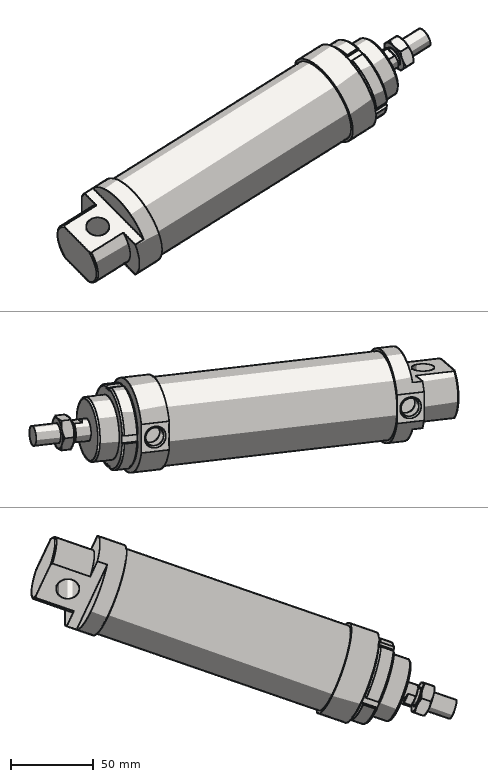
import cadquery as cq
import math

total_length = 267.0

tang_length = 25.4
tang_diameter = 39.8
tang_thickness = 30.0
tang_chamfer = 0.8
pivot_hole_diameter = 14.0
pivot_hole_y = 16.0
rear_cap_length = 17.4
rear_step_depth = 6.5

cap_diameter = 58.0
barrel_diameter = 54.5
barrel_length = 146.5
front_cap_length = 18.0

port_flat_distance = 27.5
port_diameter = 11.5
port_depth = 8.0
port_chamfer = 1.0

nose_diameter = tang_diameter
nose_length = 24.8
nose_chamfer = 1.0
lock_nut_diameter = 52.5
lock_nut_thickness = 10.1
lock_nut_gap = 1.3
lock_nut_chamfer = 1.0
lock_nut_slot_width = 5.0
lock_nut_slot_depth = 2.1
lock_nut_slot_count = 4

rod_diameter = 14.0
rod_length = 9.5
wrench_flat_distance = 12.0
wrench_flat_length = 5.0
relief_diameter = 11.0
relief_length = 2.1
thread_diameter = 12.3

hex_nut_across_flats = 19.0
hex_nut_thickness = 7.5
hex_nut_chamfer_angle = 30.0

rear_cap_y = tang_length
barrel_y = rear_cap_y + rear_cap_length
front_cap_y = barrel_y + barrel_length
nose_y = front_cap_y + front_cap_length
lock_nut_y = nose_y + lock_nut_gap
rod_y = nose_y + nose_length
relief_y = rod_y + rod_length
thread_y = relief_y + relief_length


def cylinder(diameter, length, y_start):
    """Cylinder on the Y axis, growing toward +Y from y_start."""
    base = cq.Workplane("XZ", origin=(0, y_start, 0))
    return base.circle(diameter / 2).extrude(-length)


def box(width, length, height, x, y_start, z):
    """Box centred on x and z, growing toward +Y from y_start."""
    return cq.Workplane("XY").box(width, length, height).translate((x, y_start + length / 2, z))


def make_port_cut(cap_y, cap_length):
    """Flat milled along a cap, with a chamfered blind port in its middle."""
    flat_depth = cap_diameter / 2 - port_flat_distance
    flat_x = -port_flat_distance - flat_depth / 2
    flat = box(flat_depth, cap_length, cap_diameter, flat_x, cap_y, 0)
    port_face = cq.Workplane("YZ", origin=(-port_flat_distance, cap_y + cap_length / 2, 0))
    bore = port_face.circle(port_diameter / 2).extrude(port_depth)
    countersink = (
        port_face.circle(port_diameter / 2 + port_chamfer)
        .workplane(offset=port_chamfer)
        .circle(port_diameter / 2)
        .loft()
    )
    return flat.union(bore).union(countersink)


def make_tang():
    """Round tang with flats above and below and a vertical pivot hole."""
    tang = cylinder(tang_diameter, tang_length, 0).faces("<Y").chamfer(tang_chamfer)
    tang = tang.intersect(box(tang_diameter, tang_length, tang_thickness, 0, 0, 0))
    pivot_hole = (
        cq.Workplane("XY", origin=(0, pivot_hole_y, 0))
        .circle(pivot_hole_diameter / 2)
        .extrude(tang_thickness, both=True)
    )
    return tang.cut(pivot_hole)


def make_rear_cap():
    """Rear cap, stepped back above and below to the thickness of the tang."""
    cap = cylinder(cap_diameter, rear_cap_length, rear_cap_y)
    for side in (-1, 1):
        step_z = side * (tang_thickness + cap_diameter) / 2
        cap = cap.cut(box(cap_diameter, rear_step_depth, cap_diameter, 0, rear_cap_y, step_z))
    return cap.cut(make_port_cut(rear_cap_y, rear_cap_length))


def make_front_cap():
    cap = cylinder(cap_diameter, front_cap_length, front_cap_y)
    return cap.cut(make_port_cut(front_cap_y, front_cap_length))


def make_housing():
    """Tang, caps, barrel and nose as one solid."""
    barrel = cylinder(barrel_diameter, barrel_length, barrel_y)
    nose = cylinder(nose_diameter, nose_length, nose_y).faces(">Y").chamfer(nose_chamfer)
    housing = make_tang().union(make_rear_cap()).union(barrel)
    return housing.union(make_front_cap()).union(nose)


def make_lock_nut():
    """Round nut on the nose with evenly spaced spanner slots in its rim."""
    nut = cylinder(lock_nut_diameter, lock_nut_thickness, lock_nut_y)
    nut = nut.faces("<Y or >Y").chamfer(lock_nut_chamfer)
    nut = nut.cut(cylinder(nose_diameter, lock_nut_thickness, lock_nut_y))
    slot_z = lock_nut_diameter / 2 - lock_nut_slot_depth / 2
    slot = box(lock_nut_slot_width, lock_nut_thickness, lock_nut_slot_depth, 0, lock_nut_y, slot_z)
    for index in range(lock_nut_slot_count):
        angle = index * 360 / lock_nut_slot_count
        nut = nut.cut(slot.rotate((0, 0, 0), (0, 1, 0), angle))
    return nut


def make_piston_rod():
    """Rod standing on the nose face, with two wrench flats that run out at 45 degrees."""
    rod = cylinder(rod_diameter, rod_length, rod_y)
    flat_depth = (rod_diameter - wrench_flat_distance) / 2
    flat_end_y = relief_y - wrench_flat_length
    flat_cut = (
        cq.Workplane("YZ")
        .moveTo(relief_y, wrench_flat_distance / 2)
        .lineTo(flat_end_y, wrench_flat_distance / 2)
        .lineTo(flat_end_y - flat_depth, rod_diameter / 2)
        .lineTo(relief_y, rod_diameter / 2)
        .close()
        .extrude(rod_diameter / 2, both=True)
    )
    rod = rod.cut(flat_cut).cut(flat_cut.mirror("XY"))
    relief = cylinder(relief_diameter, relief_length, relief_y)
    thread = cylinder(thread_diameter, total_length - thread_y, thread_y)
    return rod.union(relief).union(thread)


def make_hex_nut():
    """Hex nut with flats facing +Z and -Z and corners chamfered on both faces."""
    corner_radius = hex_nut_across_flats / math.sqrt(3)
    flat_radius = hex_nut_across_flats / 2
    corner_drop = (corner_radius - flat_radius) * math.tan(math.radians(hex_nut_chamfer_angle))
    nut = (
        cq.Workplane("XZ", origin=(0, thread_y, 0))
        .polygon(6, 2 * corner_radius)
        .extrude(-hex_nut_thickness)
    )
    turned_blank = (
        cq.Workplane("XY", origin=(0, thread_y, 0))
        .moveTo(0, 0)
        .lineTo(flat_radius, 0)
        .lineTo(corner_radius, corner_drop)
        .lineTo(corner_radius, hex_nut_thickness - corner_drop)
        .lineTo(flat_radius, hex_nut_thickness)
        .lineTo(0, hex_nut_thickness)
        .close()
        .revolve(360, (0, 0, 0), (0, 1, 0))
    )
    nut = nut.intersect(turned_blank)
    return nut.cut(cylinder(thread_diameter, hex_nut_thickness, thread_y))


housing = make_housing()
lock_nut = make_lock_nut()
piston_rod = make_piston_rod()
hex_nut = make_hex_nut()

result = cq.Compound.makeCompound(
    [housing.val(), lock_nut.val(), piston_rod.val(), hex_nut.val()]
)